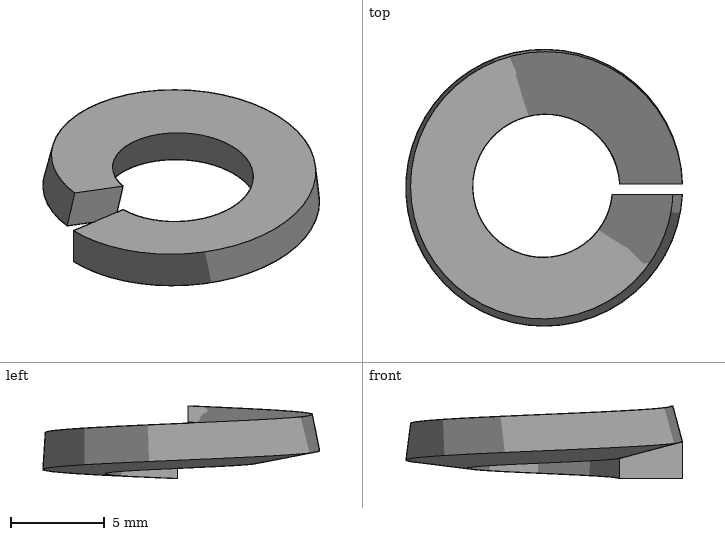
import cadquery as cq
import math

outer_radius = 7.4
section_width = 3.35
section_height = 1.98
rise = section_height
final_lean = 15.0
low_end_y = 0.19
raised_end_y = -0.35
curve_samples = 48


def edge_point(progress, inward, up):
    """Point of the section at a fraction of the turn, from its lower outer corner."""
    lean = math.radians(final_lean * progress)
    radius = outer_radius - inward * math.cos(lean) - up * math.sin(lean)
    height = rise * progress - inward * math.sin(lean) + up * math.cos(lean)
    side_shift = low_end_y + progress * (raised_end_y - low_end_y)
    angle = 2 * math.pi * progress + math.asin(side_shift / radius)
    return cq.Vector(radius * math.cos(angle), radius * math.sin(angle), height)


def corner_edge(inward, up):
    """Curve followed by one corner of the section."""
    points = [edge_point(i / curve_samples, inward, up) for i in range(curve_samples + 1)]
    return cq.Edge.makeSpline(points)


def end_face(progress):
    """Flat face closing the split at one end of the turn."""
    points = [edge_point(progress, inward, up) for inward, up in corners]
    return cq.Face.makeFromWires(cq.Wire.makePolygon(points, close=True))


corners = [(0, 0), (section_width, 0), (section_width, section_height), (0, section_height)]
corner_edges = [corner_edge(inward, up) for inward, up in corners]

faces = [end_face(0), end_face(1)]
for i, edge in enumerate(corner_edges):
    neighbour = corner_edges[(i + 1) % len(corner_edges)]
    faces.append(cq.Face.makeRuledSurface(edge, neighbour))

washer = cq.Solid.makeSolid(cq.Shell.makeShell(faces)).fix()
result = cq.Workplane("XY").newObject([washer])